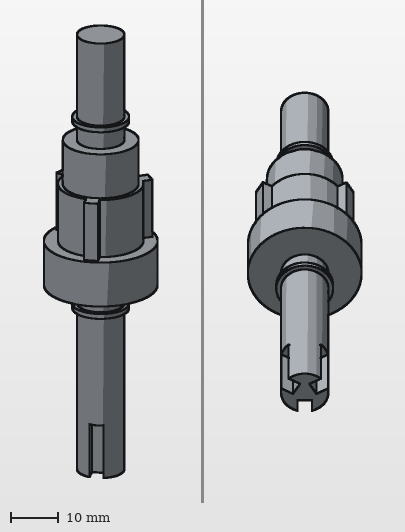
import cadquery as cq

total_length = 99.0
shaft_diameter = 10.0

flange_diameter = 24.0
flange_bottom = 42.0
flange_height = 10.0
keyed_diameter = 18.0
keyed_height = 13.0
collar_diameter = 16.0
collar_height = 10.0
flange_top = flange_bottom + flange_height
keyed_top = flange_top + keyed_height
collar_top = keyed_top + collar_height

ring_diameter = 12.0
ring_thickness = 1.1
ring_gap = 4.2
lower_ring_bottom = flange_bottom - ring_gap - ring_thickness
upper_ring_bottom = collar_top + ring_gap

key_angles = (90, 210, 330)
key_width = 3.0
key_reach = 11.0
slot_width = 3.0
slot_floor = 2.0
slot_length = 12.0


def disc(diameter, bottom, height):
    """Solid cylinder on the Z axis."""
    return cq.Workplane("XY").workplane(offset=bottom).circle(diameter / 2).extrude(height)


def radial_block(inner, outer, width, bottom, height, angle):
    """Box from one distance from the axis to another, turned to an angle about Z."""
    block = cq.Workplane("XY").box(outer - inner, width, height, centered=(False, True, False))
    return block.translate((inner, 0, bottom)).rotate((0, 0, 0), (0, 0, 1), angle)


def make_shaft():
    """Plain shaft with its two rings and the slots in its lower end."""
    shaft = disc(shaft_diameter, 0, total_length)
    shaft = shaft.union(disc(ring_diameter, lower_ring_bottom, ring_thickness))
    shaft = shaft.union(disc(ring_diameter, upper_ring_bottom, ring_thickness))
    for angle in key_angles:
        shaft = shaft.cut(radial_block(slot_floor, shaft_diameter, slot_width, 0, slot_length, angle))
    return shaft


def make_body():
    """Flange, keyed step and collar, with keys standing on the flange."""
    body = disc(flange_diameter, flange_bottom, flange_height)
    body = body.union(disc(keyed_diameter, flange_top, keyed_height))
    body = body.union(disc(collar_diameter, keyed_top, collar_height))
    for angle in key_angles:
        body = body.union(radial_block(0, key_reach, key_width, flange_top, keyed_height, angle))
    return body


result = make_shaft().union(make_body())